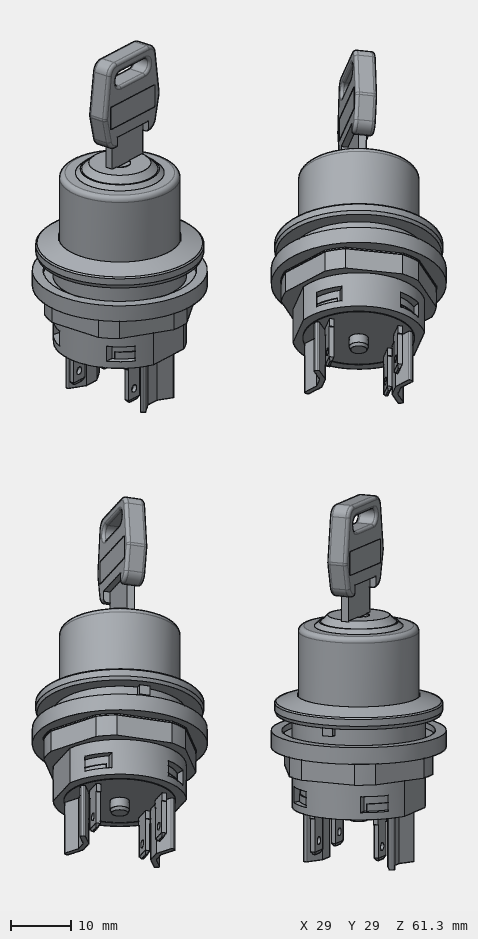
import cadquery as cq
import math


overall_height = 61.3
base_bottom = 9.15
body_bottom = 9.25
nut_bottom = 15.5
nut_flare_bottom = 19.1
ring_bottom = 19.4
groove_floor = 21.2
ring_top = 22.2
bezel_bottom = 25.1
bezel_top = 28.2
bonnet_top = 39.85
plug_top = 41.7

base_diameter = 18.5
neck_diameter = 22.2
body_diameter = 22.05
ring_diameter = 29.0
ring_bore = 25.4
bezel_diameter = 27.9
bezel_face_diameter = 27.4
bezel_bore = 20.35
bonnet_diameter = 20.0
plug_collar_bottom_diameter = 14.7
plug_collar_top_diameter = 13.1
plug_bottom_diameter = 12.6
plug_top_diameter = 10.3
spigot_diameter = 3.2

body_flat_span = 20.55
window_bottom = 10.5
window_top = 13.2
catch_top = 11.7

key_offset_y = 1.2
key_thickness = 3.6
key_bottom = 45.85
key_waist = 51.85
key_waist_width = 14.85
key_top_width = 12.2
key_bottom_width = 12.0
blade_thickness = 1.35
blade_width = 8.2
blade_top = 47.8


def disc(diameter, bottom, top):
    return cq.Workplane("XY").workplane(offset=bottom).circle(diameter / 2).extrude(top - bottom)


def box(x_range, y_range, z_range):
    sizes = [high - low for low, high in (x_range, y_range, z_range)]
    corner = (x_range[0], y_range[0], z_range[0])
    return cq.Workplane("XY").box(*sizes, centered=False).translate(corner)


def four_ways(shape):
    """The shape with its mirror images across the XZ and YZ planes."""
    pair = shape.union(shape.mirror("YZ"))
    return pair.union(pair.mirror("XZ"))


def make_upper_turning():
    """Neck, bezel, bonnet and key plug as one turned profile."""
    bezel_face_height = 27.1
    bezel_band_top = 26.85
    bezel_band_bottom = 25.7
    bezel_groove_depth = 0.6
    bonnet_fillet = 0.9
    plug_ledge = 40.6
    profile = [
        (0, groove_floor),
        (neck_diameter / 2, groove_floor),
        (neck_diameter / 2, bezel_bottom),
        (bezel_face_diameter / 2, bezel_bottom),
        (bezel_diameter / 2, bezel_band_bottom),
        (bezel_diameter / 2, bezel_band_top),
        (bezel_face_diameter / 2, bezel_face_height),
        (bezel_bore / 2, bezel_top),
        (bezel_bore / 2, bezel_top - bezel_groove_depth),
        (bonnet_diameter / 2, bezel_top - bezel_groove_depth),
    ]
    plug_profile = [
        (plug_collar_bottom_diameter / 2, bonnet_top),
        (plug_collar_top_diameter / 2, plug_ledge),
        (plug_bottom_diameter / 2, plug_ledge),
        (plug_top_diameter / 2, plug_top),
        (0, plug_top),
    ]
    fillet_center_r = bonnet_diameter / 2 - bonnet_fillet
    fillet_center_z = bonnet_top - bonnet_fillet
    fillet_reach = bonnet_fillet * math.sqrt(0.5)
    turning = (
        cq.Workplane("XZ")
        .polyline(profile)
        .lineTo(bonnet_diameter / 2, fillet_center_z)
        .threePointArc(
            (fillet_center_r + fillet_reach, fillet_center_z + fillet_reach),
            (fillet_center_r, bonnet_top),
        )
    )
    for point in plug_profile:
        turning = turning.lineTo(*point)
    turning = turning.close().revolve(360, (0, 0, 0), (0, 1, 0))

    centre_recess_diameter = 3.55
    centre_recess_depth = 0.1
    return turning.cut(disc(centre_recess_diameter, plug_top - centre_recess_depth, plug_top))


def make_neck_tab():
    """Anti-rotation tab under the bezel on the +Y side."""
    tab_width = 1.85
    tab_reach = 12.15
    tab_bottom = 23.4
    return box((-tab_width / 2, tab_width / 2), (0, tab_reach), (tab_bottom, bezel_bottom))


def make_nut():
    """Hexagonal nut with turned corners, flared under the round ring."""
    across_flats = 23.85
    flare = 0.1
    corner_diameter = 25.75

    def nut_layer(extra_width, bottom, top):
        across_corners = (across_flats + extra_width) / math.cos(math.pi / 6)
        layer = (
            cq.Workplane("XY")
            .workplane(offset=bottom)
            .polygon(6, across_corners)
            .extrude(top - bottom)
        )
        return layer.intersect(disc(corner_diameter + extra_width, bottom, top))

    nut = nut_layer(0, nut_bottom, nut_flare_bottom)
    nut = nut.union(nut_layer(2 * flare, nut_flare_bottom, ring_bottom))
    ring = disc(ring_diameter, ring_bottom, ring_top).cut(disc(ring_bore, groove_floor, ring_top))
    return nut.union(ring)


def make_window():
    """Latch window in the (+X, +Y) quarter: a round back wall with a low catch on it."""
    inner_x = 4.95
    mouth_x, mouth_y = 8.65, 6.9
    back_x, back_y = 8.2, 5.3
    back_diameter = 19.5
    catch_x = 5.4
    catch_diameter = 19.85
    beyond_body = body_diameter / 2 + 0.6
    outline = [
        (inner_x, beyond_body),
        (inner_x, back_y),
        (back_x, back_y),
        (mouth_x, mouth_y),
        (beyond_body, mouth_y),
        (beyond_body, beyond_body),
    ]
    window = (
        cq.Workplane("XY")
        .workplane(offset=window_bottom)
        .polyline(outline)
        .close()
        .extrude(window_top - window_bottom)
        .cut(disc(back_diameter, window_bottom, window_top))
    )
    catch = disc(catch_diameter, window_bottom, catch_top).intersect(
        box((catch_x, beyond_body), (0, beyond_body), (window_bottom, catch_top))
    )
    return window.cut(catch)


def make_body():
    """Lower body with flats at both X ends, latch windows and a base disc."""
    body = disc(body_diameter, body_bottom, nut_bottom)
    half_flats = body_flat_span / 2
    half_body = body_diameter / 2
    body = body.intersect(
        box((-half_flats, half_flats), (-half_body, half_body), (body_bottom, nut_bottom))
    )
    body = body.cut(four_ways(make_window()))
    return body.union(disc(base_diameter, base_bottom, body_bottom))


def make_spigot():
    """Short chamfered pin under the base."""
    spigot_bottom = 7.0
    chamfer_height = 0.55
    chamfer_width = 0.25
    spigot = disc(spigot_diameter, spigot_bottom, body_bottom)
    return spigot.faces("<Z").chamfer(chamfer_height, chamfer_width)


def make_terminal():
    """Blade terminal in the (+X, +Y) quarter."""
    inner_x = 5.4
    thickness = 0.8
    center_y = 4.0
    width = 3.0
    shoulder_width = 3.45
    tip = 1.55
    shoulder = 7.7
    tip_height = 0.55
    tip_side_chamfer = 0.55
    tip_face_chamfer = 0.25
    hole_diameter = 1.3
    hole_height = 3.8
    center_x = inner_x + thickness / 2
    blade = (
        cq.Workplane("XY")
        .workplane(offset=tip)
        .rect(thickness - 2 * tip_face_chamfer, width - 2 * tip_side_chamfer)
        .workplane(offset=tip_height)
        .rect(thickness, width)
        .loft(ruled=True)
        .faces(">Z")
        .workplane()
        .rect(thickness, width)
        .extrude(body_bottom - tip - tip_height)
        .translate((center_x, center_y, 0))
    )
    half_shoulder = shoulder_width / 2
    blade = blade.union(
        box(
            (inner_x, inner_x + thickness),
            (center_y - half_shoulder, center_y + half_shoulder),
            (shoulder, body_bottom),
        )
    )
    hole = (
        cq.Workplane("YZ")
        .center(center_y, hole_height)
        .circle(hole_diameter / 2)
        .extrude(body_diameter)
    )
    return blade.cut(hole)


def make_guard():
    """Bent guard plate at the +X side: a flat web and two wings turned outward by 60 degrees."""
    wing_angle = math.radians(60)
    thickness = 0.9
    web_inner_x = 5.95
    web_half_width = 1.15
    wing_end_x = 8.45
    wing_end_y = 3.85
    tip_radius = 0.3
    web_outer_x = web_inner_x + thickness
    inner_bend_y = web_half_width + thickness * math.tan((math.pi / 2 - wing_angle) / 2)
    tip_x = wing_end_x - thickness * math.sin(wing_angle)
    tip_y = wing_end_y + thickness * math.cos(wing_angle)
    half_outline = [
        (web_inner_x, inner_bend_y),
        (tip_x, tip_y),
        (wing_end_x, wing_end_y),
        (web_outer_x, web_half_width),
    ]
    other_half = [(x, -y) for x, y in reversed(half_outline)]
    guard = cq.Workplane("XY").polyline(half_outline + other_half).close().extrude(body_bottom)
    wing_middle_y = (web_half_width + wing_end_y) / 2
    wing_tips = guard.edges("|Z").filter(lambda edge: abs(edge.Center().y) > wing_middle_y)
    return wing_tips.fillet(tip_radius)


def make_key():
    """Key bow with rounded edges, a ring slot, label recesses and the blade."""
    corner_radius = 2.0
    waist_radius = 1.2
    edge_radius = 0.58
    slot_length = 9.1
    slot_width = 2.65
    slot_height = 58.05
    slot_edge_radius = 0.5
    label_width = 11.9
    label_height = 4.05
    label_middle = 51.8
    label_depth = 0.05
    label_corner = 0.25
    half_thickness = key_thickness / 2
    right_outline = [
        (key_bottom_width / 2, key_bottom),
        (key_waist_width / 2, key_waist),
        (key_top_width / 2, overall_height),
    ]
    left_outline = [(-y, z) for y, z in reversed(right_outline)]
    plane = cq.Workplane("YZ").workplane(offset=-half_thickness)
    bow = plane.polyline(right_outline + left_outline).close().extrude(key_thickness)
    bow = bow.edges("|X").edges(">Y or <Y").fillet(waist_radius)
    for end in (">Z", "<Z"):
        bow = bow.faces(end).edges("|X").fillet(corner_radius)
    bow = bow.faces("<X or >X").edges().fillet(edge_radius)

    slot = plane.center(0, slot_height).slot2D(slot_length, slot_width).extrude(key_thickness)
    bow = bow.cut(slot)
    slot_rim = bow.faces("<X or >X").edges().filter(
        lambda edge: abs(edge.Center().y) < slot_length / 2
        and abs(edge.Center().z - slot_height) < slot_width
    )
    bow = slot_rim.fillet(slot_edge_radius)

    label = (
        cq.Workplane("XY")
        .box(2 * label_depth, label_width, label_height)
        .edges("|X")
        .fillet(label_corner)
    )
    recess = box(
        (blade_thickness / 2, half_thickness),
        (-blade_width / 2, blade_width / 2),
        (key_bottom, blade_top),
    )
    for side in (1, -1):
        bow = bow.cut(label.translate((side * half_thickness, 0, label_middle)))
    bow = bow.cut(recess).cut(recess.mirror("YZ"))

    blade_bottom = bonnet_top
    blade = box(
        (-blade_thickness / 2, blade_thickness / 2),
        (-blade_width / 2, blade_width / 2),
        (blade_bottom, blade_top),
    )
    return bow.union(blade).translate((0, key_offset_y, 0))


guard = make_guard()
result = (
    make_upper_turning()
    .union(make_neck_tab())
    .union(make_nut())
    .union(make_body())
    .union(make_spigot())
    .union(four_ways(make_terminal()))
    .union(guard)
    .union(guard.mirror("YZ"))
    .union(make_key())
)